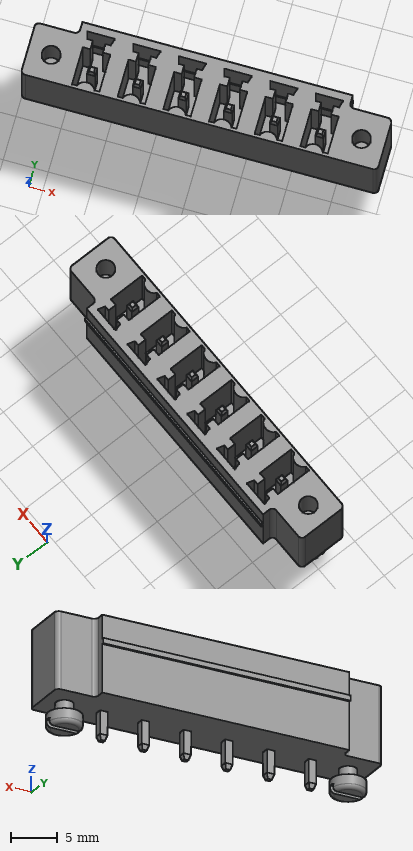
import cadquery as cq


length = 39.6
height = 9.23
ear_depth = 5.95
block_length = 30.0
block_depth = 7.33
corner_radius = 0.5

rib_projection = 0.25
rib_height = 0.65
rib_top_drop = 2.85

contact_count = 6
pitch = 5.05
axis_y = 2.9
pin_width = 0.9
pin_tip_width = 0.5
pin_tip_length = 0.6
pin_below = 3.35
pin_recess = 1.43

socket_depth = 7.25
socket_width = 3.05
socket_front_y = 0.35
socket_back_y = 4.65
neck_width = 1.4
dovetail_front_y = 5.62
dovetail_back_y = 6.45
dovetail_front_width = 2.57
ledge_depth = 0.1
ledge_height = 2.38
bump_width = 1.95
bump_projection = 0.65

screw_inset = 2.57
screw_diameter = 2.0
head_diameter = 4.0
head_top_drop = 1.43
head_height = 1.6
head_rounding = 0.48
slot_width = 0.6
slot_depth = 0.85
screw_hole_depth = height / 2

contact_xs = [(i - (contact_count - 1) / 2) * pitch for i in range(contact_count)]
screw_x = length / 2 - screw_inset


def make_housing():
    ears = (
        cq.Workplane("XY")
        .box(length, ear_depth, height, centered=(True, False, False))
        .edges("|Z")
        .fillet(corner_radius)
    )
    block = cq.Workplane("XY").box(block_length, block_depth, height, centered=(True, False, False))
    margin = 0.05
    inner_corners = cq.selectors.BoxSelector(
        (-block_length / 2 - margin, ear_depth - margin, 0),
        (block_length / 2 + margin, ear_depth + margin, height),
    )
    housing = ears.union(block).edges("|Z").edges(inner_corners).fillet(corner_radius)
    rib = (
        cq.Workplane("XY")
        .box(block_length, rib_projection, rib_height, centered=(True, False, False))
        .translate((0, block_depth, height - rib_top_drop - rib_height))
    )
    return housing.union(rib)


def make_socket(x):
    """Cutter: contact chamber with a front key, opening through a neck into a dovetail with a ledge."""
    half_socket = socket_width / 2
    half_neck = neck_width / 2
    half_dovetail = dovetail_front_width / 2
    half_bump = bump_width / 2
    floor_z = height - socket_depth
    chamber = (
        cq.Workplane("XY", origin=(x, 0, floor_z))
        .moveTo(-half_socket, socket_front_y)
        .lineTo(-half_bump, socket_front_y)
        .threePointArc((0, socket_front_y + bump_projection), (half_bump, socket_front_y))
        .lineTo(half_socket, socket_front_y)
        .lineTo(half_socket, socket_back_y)
        .lineTo(half_neck, socket_back_y)
        .lineTo(half_neck, dovetail_front_y)
        .lineTo(half_dovetail, dovetail_front_y)
        .lineTo(half_socket, dovetail_back_y)
        .lineTo(-half_socket, dovetail_back_y)
        .lineTo(-half_dovetail, dovetail_front_y)
        .lineTo(-half_neck, dovetail_front_y)
        .lineTo(-half_neck, socket_back_y)
        .lineTo(-half_socket, socket_back_y)
        .close()
        .extrude(socket_depth)
    )
    ledge = (
        cq.Workplane("XY")
        .box(socket_width, ledge_depth, ledge_height, centered=(True, False, False))
        .translate((x, dovetail_back_y - ledge_depth, floor_z))
    )
    return chamber.cut(ledge)


def make_pin(x):
    """Square contact pin, tapered at both ends."""
    top = height - pin_recess
    shank_length = top + pin_below - 2 * pin_tip_length
    shank = (
        cq.Workplane("XY", origin=(x, axis_y, pin_tip_length - pin_below))
        .rect(pin_width, pin_width)
        .extrude(shank_length)
    )
    for face in (">Z", "<Z"):
        tip = (
            shank.faces(face)
            .workplane()
            .rect(pin_width, pin_width)
            .workplane(offset=pin_tip_length)
            .rect(pin_tip_width, pin_tip_width)
            .loft(combine=False)
        )
        shank = shank.union(tip)
    return shank


def make_screw(x):
    """Slotted screw hanging below an ear."""
    head_bottom = -head_top_drop - head_height
    shank = (
        cq.Workplane("XY", origin=(x, axis_y, -head_top_drop))
        .circle(screw_diameter / 2)
        .extrude(head_top_drop)
    )
    head = (
        cq.Workplane("XY", origin=(x, axis_y, head_bottom))
        .circle(head_diameter / 2)
        .extrude(head_height)
        .faces("<Z")
        .edges()
        .fillet(head_rounding)
    )
    slot = (
        cq.Workplane("XY", origin=(x, axis_y, head_bottom))
        .rect(head_diameter, slot_width)
        .extrude(slot_depth)
    )
    return head.cut(slot).union(shank)


def make_screw_hole(x):
    return (
        cq.Workplane("XY", origin=(x, axis_y, height - screw_hole_depth))
        .circle(screw_diameter / 2)
        .extrude(screw_hole_depth)
    )


result = make_housing()
for contact_x in contact_xs:
    result = result.cut(make_socket(contact_x)).union(make_pin(contact_x))
for side_x in (-screw_x, screw_x):
    result = result.cut(make_screw_hole(side_x)).union(make_screw(side_x))